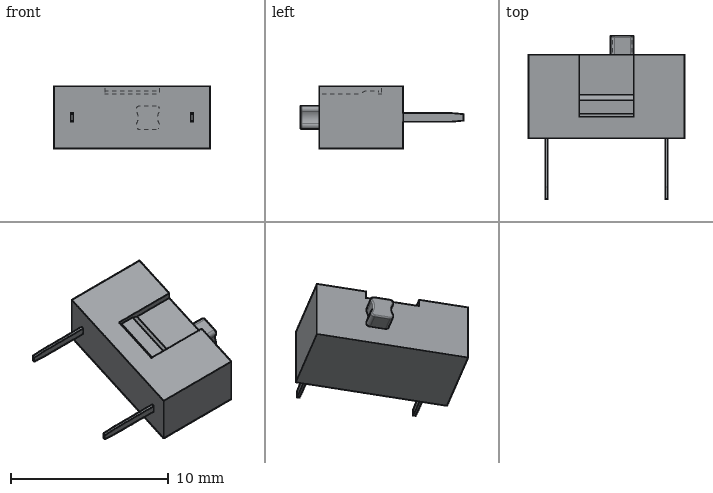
import cadquery as cq
import math

housing_length = 9.9
housing_height = 3.96
housing_depth = 5.31
housing_back = housing_depth / 2
housing_top = housing_height / 2

recess_width = 3.48
recess_reach = 3.93
recess_depth = 0.5
step_depth = 0.3
ramp_start = 2.53
ramp_end = 2.88
step_end = 3.75

knob_size = 1.5
knob_reach = 1.2
knob_corner_radius = 0.25
knob_edge_radius = 0.09
scoop_start_angle = math.radians(30)
knob_x = (recess_width - knob_size) / 2

pin_length = 10.35 - housing_depth - knob_reach
pin_thickness = 0.18
pin_width = 0.57
pin_tip_width = 0.42
pin_tip_length = 0.8
pin_spacing = 7.61


def make_recess():
    """Volume removed above the floor, ramp and raised step."""
    floor_z = housing_top - recess_depth
    step_z = housing_top - step_depth
    recess_front = housing_back - recess_reach
    step_front = housing_back - step_end
    return (
        cq.Workplane("YZ")
        .moveTo(housing_back, housing_top)
        .lineTo(housing_back, floor_z)
        .lineTo(housing_back - ramp_start, floor_z)
        .lineTo(housing_back - ramp_end, step_z)
        .lineTo(step_front, step_z)
        .lineTo(step_front, floor_z)
        .lineTo(recess_front, floor_z)
        .lineTo(recess_front, housing_top)
        .close()
        .extrude(recess_width / 2, both=True)
    )


def make_knob():
    """Square knob with rounded corners, scooped sides and a rounded end."""
    half = knob_size / 2
    radius = knob_corner_radius
    centre = half - radius
    join_x = centre + radius * math.cos(scoop_start_angle)
    join_z = centre - radius * math.sin(scoop_start_angle)
    scoop_radius = join_z / math.sin(scoop_start_angle)
    scoop_x = join_x - scoop_radius * (1 - math.cos(scoop_start_angle))
    middle_angle = (math.pi / 2 - scoop_start_angle) / 2
    middle_x = centre + radius * math.cos(middle_angle)
    middle_z = centre + radius * math.sin(middle_angle)
    return (
        cq.Workplane("XZ")
        .moveTo(-centre, half)
        .lineTo(centre, half)
        .threePointArc((middle_x, middle_z), (join_x, join_z))
        .threePointArc((scoop_x, 0), (join_x, -join_z))
        .threePointArc((middle_x, -middle_z), (centre, -half))
        .lineTo(-centre, -half)
        .threePointArc((-middle_x, -middle_z), (-join_x, -join_z))
        .threePointArc((-scoop_x, 0), (-join_x, join_z))
        .threePointArc((-middle_x, middle_z), (-centre, half))
        .close()
        .extrude(-knob_reach)
        .faces(">Y")
        .edges()
        .fillet(knob_edge_radius)
        .translate((knob_x, housing_back, 0))
    )


def make_housing():
    block = cq.Workplane("XY").box(housing_length, housing_depth, housing_height)
    return block.cut(make_recess()).union(make_knob())


def make_pin(x):
    """Flat pin that tapers in width towards its tip."""
    root_y = -housing_depth / 2
    tip_y = root_y - pin_length
    taper_y = tip_y + pin_tip_length
    return (
        cq.Workplane("YZ")
        .polyline([
            (root_y, -pin_width / 2),
            (taper_y, -pin_width / 2),
            (tip_y, -pin_tip_width / 2),
            (tip_y, pin_tip_width / 2),
            (taper_y, pin_width / 2),
            (root_y, pin_width / 2),
        ])
        .close()
        .extrude(pin_thickness / 2, both=True)
        .translate((x, 0, 0))
    )


housing = make_housing()
pins = [make_pin(side * pin_spacing / 2) for side in (-1, 1)]

result = cq.Compound.makeCompound([housing.val(), *[pin.val() for pin in pins]])